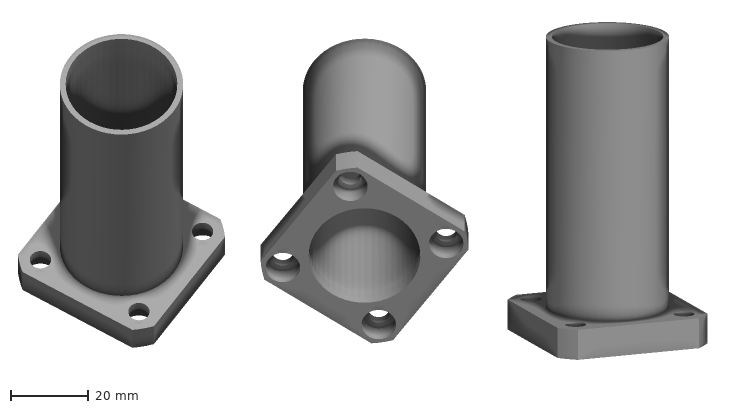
import cadquery as cq

flange_width = 42.0
flange_thickness = 8.0
corner_circle_diameter = 54.0

total_height = 80.0
tube_outer_diameter = 32.0
tube_bore_diameter = 29.0

mounting_hole_diameter = 5.5
mounting_hole_spacing = 30.4
counterbore_diameter = 9.0
counterbore_depth = 5.3


def make_flange():
    square = cq.Workplane("XY").rect(flange_width, flange_width).extrude(flange_thickness)
    corner_disc = cq.Workplane("XY").circle(corner_circle_diameter / 2).extrude(flange_thickness)
    return square.intersect(corner_disc)


def make_corner_pins(diameter, height):
    """Cylinders standing on the flange underside at the four mounting positions."""
    return (
        cq.Workplane("XY")
        .rect(mounting_hole_spacing, mounting_hole_spacing, forConstruction=True)
        .vertices()
        .circle(diameter / 2)
        .extrude(height)
    )


tube = cq.Workplane("XY").circle(tube_outer_diameter / 2).extrude(total_height)
bore = cq.Workplane("XY").circle(tube_bore_diameter / 2).extrude(total_height)

mounting_holes = make_corner_pins(mounting_hole_diameter, flange_thickness)
counterbores = make_corner_pins(counterbore_diameter, counterbore_depth)

result = make_flange().union(tube).cut(bore).cut(mounting_holes).cut(counterbores)